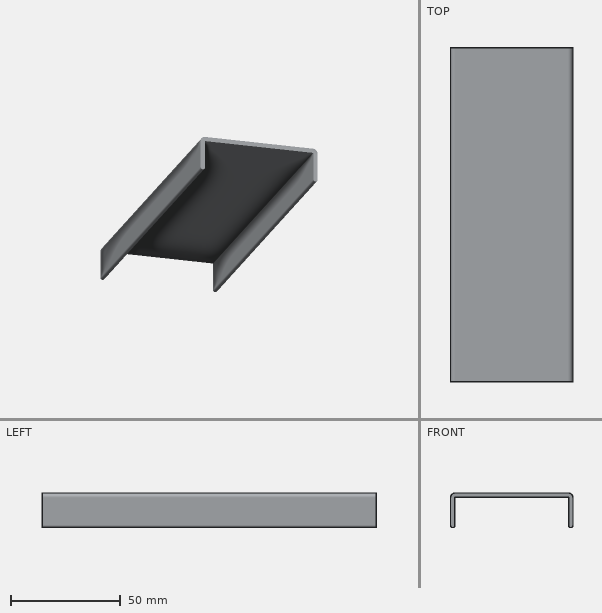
import cadquery as cq

width = 55.88
length = 152.4
height = 15.875

thickness = 2.032
inner_bend_radius = 0.127
outer_bend_radius = inner_bend_radius + thickness
leg_tip_radius = thickness / 2

leg_centre_x = (width - thickness) / 2


def rounded_top_block(block_width, top, corner_radius):
    """Block from the leg tip centres up to top, with its upper long edges rounded."""
    return (
        cq.Workplane("XY")
        .workplane(offset=leg_tip_radius)
        .rect(block_width, length)
        .extrude(top - leg_tip_radius)
        .edges("|Y and >Z")
        .fillet(corner_radius)
    )


def make_channel():
    """Downward-opening U channel along Y, with legs ending at the tip centres."""
    outer = rounded_top_block(width, height, outer_bend_radius)
    opening = rounded_top_block(width - 2 * thickness, height - thickness, inner_bend_radius)
    return outer.cut(opening)


def make_leg_tips():
    """Full-round rods that finish the free ends of both legs."""
    return (
        cq.Workplane("XZ")
        .pushPoints([(side * leg_centre_x, leg_tip_radius) for side in (-1, 1)])
        .circle(leg_tip_radius)
        .extrude(length / 2, both=True)
    )


result = make_channel().union(make_leg_tips())